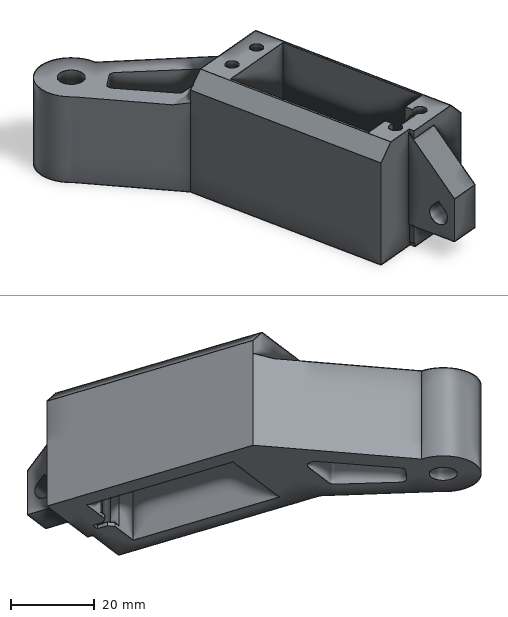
import cadquery as cq
import math

boss_radius = 9.0
bore_radius = 3.3
total_length = 110.0

body_left = 30.8
body_right = 88.8
body_front = 6.2
body_width = 30.0
body_height = 32.3
body_chamfer = 4.0
body_middle = body_front + body_width / 2
body_back = body_front + body_width

arm_height = 23.9
ramp_length = 3.7
ramp_rise = 1.0
arm_back_start = 0.4
arm_front_start = 5.7
arm_window_corners = [(6.2, 7.2), (25.5, 24.1), (25.5, 9.7), (9.6, 1.1)]
arm_window_radii = [1.5, 2.0, 1.5, 1.5]

opening_left = 39.4
opening_right = 80.4
opening_width = 20.9

screw_radius = 1.6
screw_bottom = 2.0
screw_pitch = 9.8
screw_offset = 3.7
floor_thickness = 1.0

slot_depth = 4.2
slot_width = 8.0
slit_width = 2.0
slit_flare = 1.3

step_depth = 1.4
step_edge = 17.5
foot_setback = 0.3

tab_width = 8.2
tab_back = 25.4
tab_bottom = 6.0
tab_end_top = 17.9
tab_right = total_length - boss_radius
eye_x = 96.2
eye_z = 11.9
eye_radius = 2.6


def block(left, right, front, back, bottom, top):
    """Axis-aligned block between the given limits."""
    size = (right - left, back - front, top - bottom)
    return cq.Workplane("XY").box(*size, centered=False).translate((left, front, bottom))


def make_body():
    """Housing block with both long top edges chamfered."""
    body = block(body_left, body_right, body_front, body_back, 0, body_height)
    body = body.edges("|X and >Z").chamfer(body_chamfer)
    step_left = body_right - step_depth
    body = body.cut(block(step_left, body_right, body_front, step_edge, 0, body_height))
    foot = block(step_left, body_right, step_edge, step_edge + foot_setback, 0, floor_thickness)
    return body.cut(foot)


def make_arm():
    """Tapered arm and its round boss, with a ramp up to the body."""
    back_start = (arm_back_start, math.sqrt(boss_radius**2 - arm_back_start**2))
    front_start = (arm_front_start, -math.sqrt(boss_radius**2 - arm_front_start**2))
    plan = (
        cq.Workplane("XY")
        .moveTo(*back_start)
        .lineTo(body_left, body_back)
        .lineTo(body_left, body_front)
        .lineTo(*front_start)
        .threePointArc((-boss_radius, 0), back_start)
        .close()
        .extrude(body_height)
    )
    side = (
        cq.Workplane("XZ")
        .moveTo(-boss_radius, 0)
        .lineTo(body_left, 0)
        .lineTo(body_left, arm_height + ramp_rise)
        .lineTo(body_left - ramp_length, arm_height)
        .lineTo(-boss_radius, arm_height)
        .close()
        .extrude(total_length, both=True)
    )
    arm = plan.intersect(side)
    window = cq.Workplane("XY").polyline(arm_window_corners).close().extrude(body_height)
    for corner, radius in zip(arm_window_corners, arm_window_radii):
        edge = cq.selectors.NearestToPointSelector((*corner, body_height / 2))
        window = window.edges("|Z").edges(edge).fillet(radius)
    bore = cq.Workplane("XY").circle(bore_radius).extrude(body_height)
    return arm.cut(window).cut(bore)


def make_tab():
    """End tab with a 45 degree top and a teardrop eye."""
    root = body_right - step_depth
    root_top = tab_end_top + tab_right - root
    plane = cq.Workplane("XZ", origin=(0, tab_back, 0))
    tab = (
        plane.moveTo(root, tab_bottom)
        .lineTo(tab_right, tab_bottom)
        .lineTo(tab_right, tab_end_top)
        .lineTo(root, root_top)
        .close()
        .extrude(tab_width)
    )
    tangent = eye_radius / math.sqrt(2)
    eye = (
        plane.moveTo(eye_x - tangent, eye_z + tangent)
        .threePointArc((eye_x, eye_z - eye_radius), (eye_x + tangent, eye_z + tangent))
        .lineTo(eye_x, eye_z + 2 * tangent)
        .close()
        .extrude(tab_width)
    )
    return tab.cut(eye)


def make_opening():
    """Main through opening, cable slot and flared slit in the slot floor."""
    half = opening_width / 2
    front, back = body_middle - half, body_middle + half
    opening = block(opening_left, opening_right, front, back, 0, body_height)
    slot_end = opening_right + slot_depth
    half = slot_width / 2
    front, back = body_middle - half, body_middle + half
    slot = block(opening_right, slot_end, front, back, floor_thickness, body_height)
    half = slit_width / 2
    slit = (
        cq.Workplane("XY", origin=(opening_right, body_middle, 0))
        .moveTo(0, half + slit_flare)
        .lineTo(slit_flare, half)
        .lineTo(slot_depth, half)
        .lineTo(slot_depth, -half)
        .lineTo(slit_flare, -half)
        .lineTo(0, -half - slit_flare)
        .close()
        .extrude(floor_thickness)
    )
    return opening.union(slot).union(slit)


def make_screw_holes():
    """Four blind holes that end a little above the slot floor."""
    columns = (opening_left - screw_offset, opening_right + screw_offset)
    rows = (body_middle - screw_pitch / 2, body_middle + screw_pitch / 2)
    centers = [(x, y) for x in columns for y in rows]
    plane = cq.Workplane("XY", origin=(0, 0, screw_bottom))
    return plane.pushPoints(centers).circle(screw_radius).extrude(body_height - screw_bottom)


result = make_body().union(make_arm()).union(make_tab())
result = result.cut(make_opening()).cut(make_screw_holes())